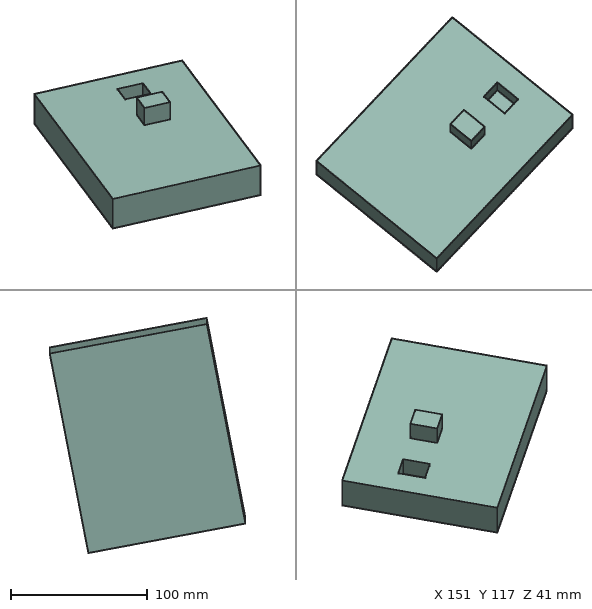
import cadquery as cq

length = 151.0
width = 117.0
plate_height = 26.0
total_height = 41.0

block_length = 15.0
block_width = 20.2
block_back_margin = 38.0
boss_left_margin = 54.2
pocket_left_margin = 17.0

boss_height = total_height - plate_height
pocket_depth = boss_height


def block(left_margin, base_z, height):
    """Rectangular block placed by its distances from the plate's left and back sides."""
    front_y = width - block_back_margin - block_width
    return (
        cq.Workplane("XY")
        .box(block_length, block_width, height, centered=False)
        .translate((left_margin, front_y, base_z))
    )


plate = cq.Workplane("XY").box(length, width, plate_height, centered=False)
boss = block(boss_left_margin, plate_height, boss_height)
pocket = block(pocket_left_margin, plate_height - pocket_depth, pocket_depth)

result = plate.union(boss).cut(pocket)